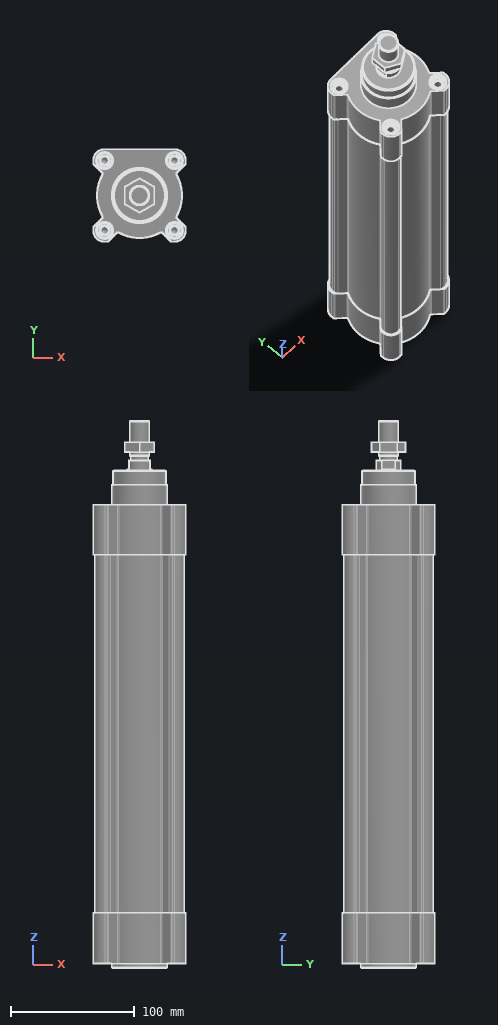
import cadquery as cq
import math

total_height = 443.1
rear_collar_height = 4.0
rear_cap_height = 41.0
barrel_length = 289.5
front_cap_height = 40.5
collar_height = 16.0
collar_neck_height = 12.0

barrel_base = rear_collar_height + rear_cap_height
front_cap_base = barrel_base + barrel_length
collar_base = front_cap_base + front_cap_height
neck_base = collar_base + collar_height
neck_top = neck_base + collar_neck_height

cap_width = 75.0
bolt_spacing = 56.5
bolt_offset = bolt_spacing / 2
body_radius = 34.5
lobe_half_width = 8.5
barrel_inset = 1.25
barrel_flank_inset = 0.4
cap_edge_radius = 1.0
barrel_edge_radius = 4.0
notch_radius = 1.0

collar_diameter = 45.0
neck_diameter = 43.0
collar_chamfer = 1.0

recess_diameter = 13.9
recess_depth = 1.0
step_diameter = 12.0
step_depth = 2.0
mouth_diameter = 8.8
counterbore_diameter = 8.0
counterbore_depth = 5.0
thread_core_diameter = 6.65
thread_depth = 16.0
drill_tip_angle = 118.0

rod_diameter = 20.0
rod_flat_width = 17.0
thread_diameter = 16.0
relief_diameter = 14.38
thread_length = 32.0
relief_length = 3.0
thread_chamfer = (thread_diameter - relief_diameter) / 2
flat_clearance = 0.9
rod_chamfer = 0.5
rod_base = front_cap_base
shoulder = total_height - thread_length

nut_width = 24.0
nut_height = 8.0
nut_top_gap = 17.5
nut_top = total_height - nut_top_gap
nut_base = nut_top - nut_height


def cylinder(diameter, base, height):
    return cq.Workplane("XY").workplane(offset=base).circle(diameter / 2).extrude(height)


def corner_lobe(half_side, half_width, base, height, edge_radius):
    """Lobe toward (+X, +Y): two flat sides, a rounded corner and 45 degree flanks with eased edges."""
    corner_radius = half_side - bolt_offset
    flank = half_width * math.sqrt(2)
    arc_mid = bolt_offset + corner_radius * math.sqrt(0.5)
    lobe = (
        cq.Workplane("XY").workplane(offset=base)
        .moveTo(flank, 0)
        .lineTo(half_side, half_side - flank)
        .lineTo(half_side, bolt_offset)
        .threePointArc((arc_mid, arc_mid), (bolt_offset, half_side))
        .lineTo(half_side - flank, half_side)
        .lineTo(0, flank)
        .close()
        .extrude(height)
    )
    for x, y in ((half_side, half_side - flank), (half_side - flank, half_side)):
        lobe = lobe.edges(cq.selectors.NearestToPointSelector((x, y, base + height / 2))).fillet(edge_radius)
    return lobe


def lobed_block(inset, flank_inset, edge_radius, base, height):
    """Round core with four corner lobes and rounded notches where the lobes meet the core."""
    radius = body_radius - flank_inset
    half_width = lobe_half_width - flank_inset
    block = cylinder(2 * radius, base, height)
    lobe = corner_lobe(cap_width / 2 - inset, half_width, base, height, edge_radius)
    for turn in range(4):
        block = block.union(lobe.rotate((0, 0, 0), (0, 0, 1), 90 * turn))

    notch_turn = math.asin(half_width / radius)
    for turn in range(4):
        for side in (-1, 1):
            angle = math.pi / 4 + turn * math.pi / 2 + side * notch_turn
            notch = (radius * math.cos(angle), radius * math.sin(angle), base + height / 2)
            block = block.edges(cq.selectors.NearestToPointSelector(notch)).fillet(notch_radius)
    return block


def flat_side(half_side, base, height):
    """Fill between the two +Y lobes of a cap."""
    return (
        cq.Workplane("XY").workplane(offset=base).center(0, half_side / 2)
        .rect(bolt_spacing, half_side).extrude(height)
    )


def cap(base, height):
    return lobed_block(0, 0, cap_edge_radius, base, height).union(flat_side(cap_width / 2, base, height))


def screw_socket():
    """Stepped recess, counterbore, thread core and drill tip, as a solid of revolution at the origin."""
    core = thread_core_diameter / 2
    mouth = mouth_diameter / 2
    counterbore = counterbore_diameter / 2
    tip = core / math.tan(math.radians(drill_tip_angle / 2))
    return (
        cq.Workplane("XZ")
        .moveTo(0, 0)
        .lineTo(recess_diameter / 2, 0)
        .lineTo(recess_diameter / 2, -recess_depth)
        .lineTo(step_diameter / 2, -recess_depth)
        .lineTo(step_diameter / 2, -step_depth)
        .lineTo(mouth, -step_depth)
        .lineTo(counterbore, -step_depth - (mouth - counterbore))
        .lineTo(counterbore, -counterbore_depth)
        .lineTo(core, -counterbore_depth)
        .lineTo(core, -thread_depth)
        .lineTo(0, -thread_depth - tip)
        .close()
        .revolve(360, (0, 0, 0), (0, 1, 0))
    )


def make_housing():
    housing = lobed_block(barrel_inset, barrel_flank_inset, barrel_edge_radius, barrel_base, barrel_length)
    housing = housing.union(cap(rear_collar_height, rear_cap_height))
    housing = housing.union(cap(front_cap_base, front_cap_height))
    rear_collar = cylinder(collar_diameter, 0, rear_collar_height).faces("<Z").chamfer(collar_chamfer)
    neck = cylinder(neck_diameter, neck_base, collar_neck_height).faces(">Z").chamfer(collar_chamfer)
    housing = housing.union(rear_collar).union(neck)
    housing = housing.union(cylinder(collar_diameter, collar_base, collar_height))
    for x in (-bolt_offset, bolt_offset):
        for y in (-bolt_offset, bolt_offset):
            housing = housing.cut(screw_socket().translate((x, y, collar_base)))
    return housing.cut(cylinder(rod_diameter, rod_base, neck_top - rod_base))


def make_rod():
    shank = cylinder(rod_diameter, rod_base, shoulder - rod_base).faces(">Z").chamfer(rod_chamfer)
    flat_base = neck_top + flat_clearance
    flat_height = shoulder - flat_base
    flats = (
        cq.Workplane("XY").workplane(offset=flat_base)
        .rect(2 * rod_diameter, 2 * rod_diameter)
        .rect(rod_flat_width, 2 * rod_diameter)
        .extrude(flat_height)
    )
    relief = cylinder(relief_diameter, shoulder, relief_length)
    thread_base = shoulder + relief_length
    thread = cylinder(thread_diameter, thread_base, total_height - thread_base)
    thread = thread.faces("<Z or >Z").chamfer(thread_chamfer)
    return shank.cut(flats).union(relief).union(thread)


def make_nut():
    """Hexagon with two flats facing +X and -X."""
    corner_diameter = nut_width / math.cos(math.pi / 6)
    return (
        cq.Workplane("XY").workplane(offset=nut_base)
        .polygon(6, corner_diameter).extrude(nut_height)
        .rotate((0, 0, 0), (0, 0, 1), 30)
        .cut(cylinder(thread_diameter, nut_base, nut_height))
    )


housing = make_housing()
rod = make_rod()
nut = make_nut()

result = cq.Compound.makeCompound([housing.val(), rod.val(), nut.val()])